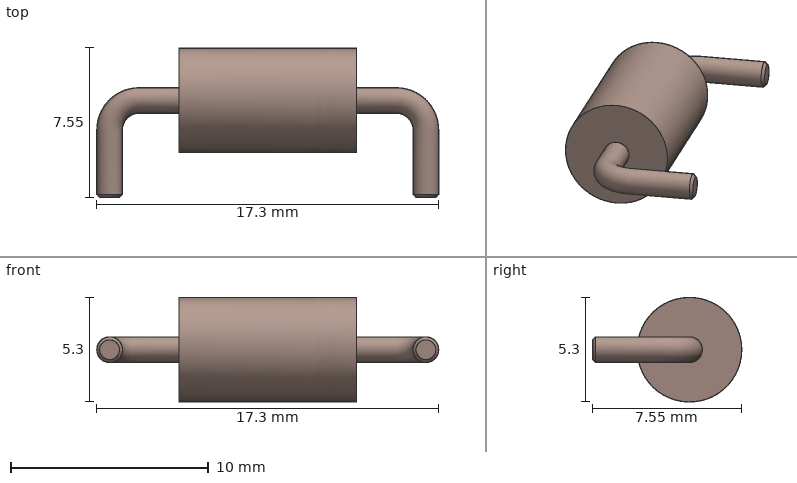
import cadquery as cq

body_diameter = 5.3
body_length = 9.0

band_start = 2.5
band_width = 0.5

lead_diameter = 1.3
lead_pitch = 16.0
bend_radius = 1.5
lead_reach = 4.9
tip_chamfer = 0.15

body_end = body_length / 2
leg_x = lead_pitch / 2
bend_start = leg_x - bend_radius


def body_section(x_start, x_end):
    """Solid slice of the cylindrical body between two X positions."""
    return (
        cq.Workplane("YZ")
        .workplane(offset=x_start)
        .circle(body_diameter / 2)
        .extrude(x_end - x_start)
    )


def make_body():
    """Three flush sections, fused so the edges of the band stay on the surface."""
    band_end = band_start + band_width
    main = body_section(-body_end, band_start)
    band = body_section(band_start, band_end)
    cap = body_section(band_end, body_end)
    return main.union(band, clean=False).union(cap, clean=False)


def make_lead():
    """Lead on the +X side: straight out of the body, a 90 degree bend, then the leg."""
    path = (
        cq.Workplane("XY")
        .moveTo(body_end, 0)
        .lineTo(bend_start, 0)
        .radiusArc((leg_x, -bend_radius), bend_radius)
        .lineTo(leg_x, -lead_reach)
    )
    wire = cq.Workplane("YZ").workplane(offset=body_end).circle(lead_diameter / 2).sweep(path)
    return wire.faces("<Y").chamfer(tip_chamfer)


lead = make_lead()
result = make_body()
for one_lead in (lead, lead.mirror("YZ")):
    result = result.union(one_lead, clean=False)